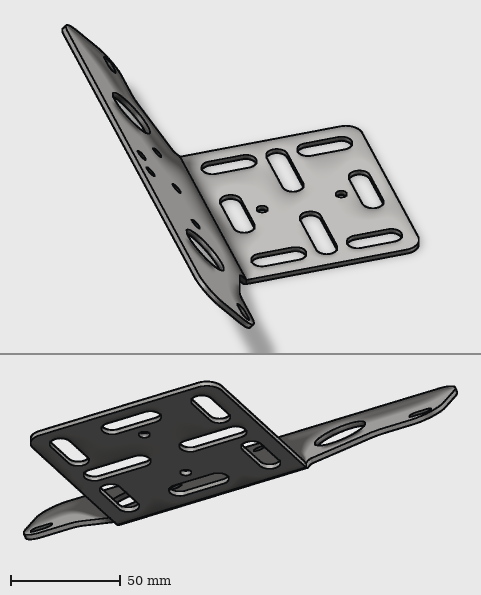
import cadquery as cq
import math

overall_width = 221.0
overall_depth = 125.5
overall_height = 48.5
thickness = 2.5
bend_angle = 50.0
bend_sine = math.sin(math.radians(bend_angle))
bend_cosine = math.cos(math.radians(bend_angle))

flange_length = (overall_height - thickness) / bend_sine
flange_depth = flange_length * bend_cosine + thickness * bend_sine
base_length = overall_depth - flange_depth
base_width = 100.0
base_corner_radius = 8.0

base_slot_width = 10.0
side_slot_length = 26.0
side_slot_x = 37.3
side_slot_y = 23.0
middle_slot_length = 34.0
middle_slot_x = side_slot_x + (base_slot_width - middle_slot_length) / 2
end_slot_length = 30.0
end_slot_y = 31.0
base_hole_diameter = 5.0
base_hole_y = 19.0

neck_height = 4.9
wing_height = 19.7
wing_inner_x = 79.3
wing_corner_radius = 12.5
wing_blend_radius = 17.7
neck_blend_radius = 2.0

large_hole_diameter = 25.0
large_hole_x = 55.5
large_hole_height = 33.5
small_hole_diameter = 5.5
hole_row_height = 27.5
outer_hole_x = 29.0
upper_hole_x = 6.6
upper_hole_height = 50.2
wing_slot_length = 11.0
wing_slot_x = 100.1

SIDES = (-1, 1)


def mirrored(x, y):
    """Two points, one on each side of the X = 0 plane."""
    return [(side * x, y) for side in SIDES]


def make_base_plate():
    """Flat plate with its top face level with the inside of the bend."""
    plate = (
        cq.Workplane("XY")
        .box(base_width, base_length, thickness, centered=(True, False, False))
        .edges("|Z and >Y")
        .fillet(base_corner_radius)
    )
    side_points = [(x * side_slot_x, y * side_slot_y) for x in SIDES for y in SIDES]
    end_points = [(0, y * end_slot_y) for y in SIDES]
    hole_points = [(0, y * base_hole_y) for y in SIDES]

    openings = (
        cq.Workplane("XY", origin=(0, base_length / 2, 0))
        .pushPoints(side_points)
        .slot2D(side_slot_length, base_slot_width, 90)
        .pushPoints(mirrored(middle_slot_x, 0))
        .slot2D(middle_slot_length, base_slot_width)
        .pushPoints(end_points)
        .slot2D(end_slot_length, base_slot_width)
        .pushPoints(hole_points)
        .circle(base_hole_diameter / 2)
        .extrude(thickness)
    )
    return plate.cut(openings)


def make_flange_blank(slope_plane):
    """Winged sheet lying below the sloping plane, with rounded corners and blends."""
    neck_x = base_width / 2
    wing_x = overall_width / 2
    right_outline = [
        (neck_x, 0),
        (neck_x, neck_height),
        (wing_inner_x, wing_height),
        (wing_x, wing_height),
        (wing_x, flange_length),
    ]
    left_outline = [(-x, y) for x, y in reversed(right_outline)]
    blank = cq.Workplane("XY").polyline(right_outline + left_outline).close().extrude(-thickness)
    blank = blank.edges("|Z and (<X or >X)").fillet(wing_corner_radius)
    middle_z = -thickness / 2
    for side in SIDES:
        wing_corner = cq.selectors.NearestToPointSelector((side * wing_inner_x, wing_height, middle_z))
        neck_corner = cq.selectors.NearestToPointSelector((side * neck_x, neck_height, middle_z))
        blank = blank.edges(wing_corner).fillet(wing_blend_radius)
        blank = blank.edges(neck_corner).fillet(neck_blend_radius)
    return cq.Workplane(blank.val().moved(cq.Location(slope_plane)))


def make_bend():
    """Rounded wedge that joins the end of the base plate to the sloping sheet."""
    half_angle = math.radians(bend_angle / 2)
    arc_middle = (-thickness * math.sin(half_angle), thickness - thickness * math.cos(half_angle))
    arc_end = (-thickness * bend_sine, thickness - thickness * bend_cosine)
    return (
        cq.Workplane("YZ", origin=(-base_width / 2, 0, 0))
        .moveTo(0, thickness)
        .lineTo(0, 0)
        .threePointArc(arc_middle, arc_end)
        .close()
        .extrude(base_width)
    )


def make_flange():
    """Sloping flange with its bend and all its openings."""
    slope_plane = cq.Plane(
        origin=(0, 0, thickness), xDir=(-1, 0, 0), normal=(0, bend_sine, bend_cosine)
    )
    flange = make_flange_blank(slope_plane).union(make_bend())
    small_hole_points = [
        (0, hole_row_height),
        *mirrored(outer_hole_x, hole_row_height),
        *mirrored(upper_hole_x, upper_hole_height),
    ]

    openings = (
        cq.Workplane(slope_plane)
        .pushPoints(mirrored(large_hole_x, large_hole_height))
        .circle(large_hole_diameter / 2)
        .pushPoints(small_hole_points)
        .circle(small_hole_diameter / 2)
        .pushPoints(mirrored(wing_slot_x, hole_row_height))
        .slot2D(wing_slot_length, small_hole_diameter)
        .extrude(-thickness)
    )
    return flange.cut(openings)


base_plate = make_base_plate()
flange = make_flange()

result = cq.Compound.makeCompound([base_plate.solids().val(), flange.solids().val()])